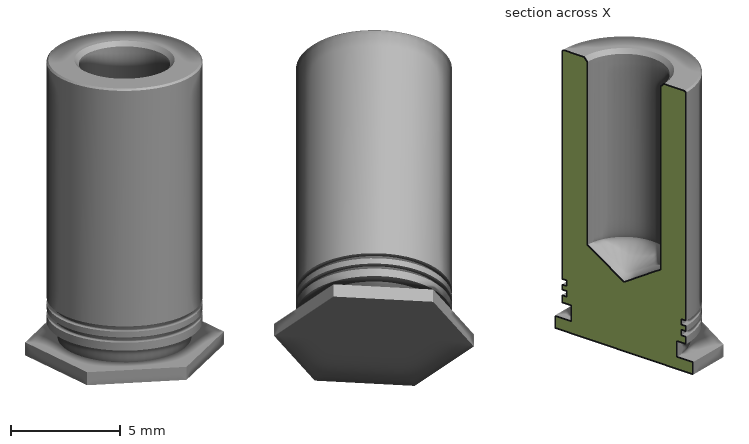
import cadquery as cq
import math

total_height = 14.29
hex_across_flats = 7.92
hex_across_corners = hex_across_flats / math.cos(math.radians(30))
flange_thickness = 0.64

barrel_diameter = 7.11
neck_diameter = 6.1
groove_diameter = 6.6
neck_height = 0.78
lower_ring_height = 0.39
upper_ring_height = 0.28
groove_height = 0.26
rim_chamfer = 0.08

bore_diameter = 4.17
bore_depth = 9.5
drill_point_angle = 118
mouth_chamfer = 0.2


def make_flange():
    """Hexagonal base plate with two corners on the X axis."""
    return cq.Workplane("XY").polygon(6, hex_across_corners).extrude(flange_thickness)


def add_barrel(part):
    """Stack the neck, two rings parted by grooves, and the long body on the part."""
    lower_steps = [
        (neck_diameter, neck_height),
        (barrel_diameter, lower_ring_height),
        (groove_diameter, groove_height),
        (barrel_diameter, upper_ring_height),
        (groove_diameter, groove_height),
    ]
    lower_height = sum(height for _, height in lower_steps)
    body_height = total_height - flange_thickness - lower_height

    for diameter, height in lower_steps + [(barrel_diameter, body_height)]:
        part = part.faces(">Z").workplane().circle(diameter / 2).extrude(height)
    return part.faces(">Z").edges().chamfer(rim_chamfer)


def make_bore():
    """Solid to remove: chamfered mouth, straight bore and conical drill point."""
    radius = bore_diameter / 2
    bore_floor = total_height - bore_depth
    point_depth = radius / math.tan(math.radians(drill_point_angle / 2))
    return (
        cq.Workplane("XZ")
        .moveTo(0, total_height)
        .lineTo(radius + mouth_chamfer, total_height)
        .lineTo(radius, total_height - mouth_chamfer)
        .lineTo(radius, bore_floor)
        .lineTo(0, bore_floor - point_depth)
        .close()
        .revolve(360, (0, 0, 0), (0, 1, 0))
    )


result = add_barrel(make_flange()).cut(make_bore())